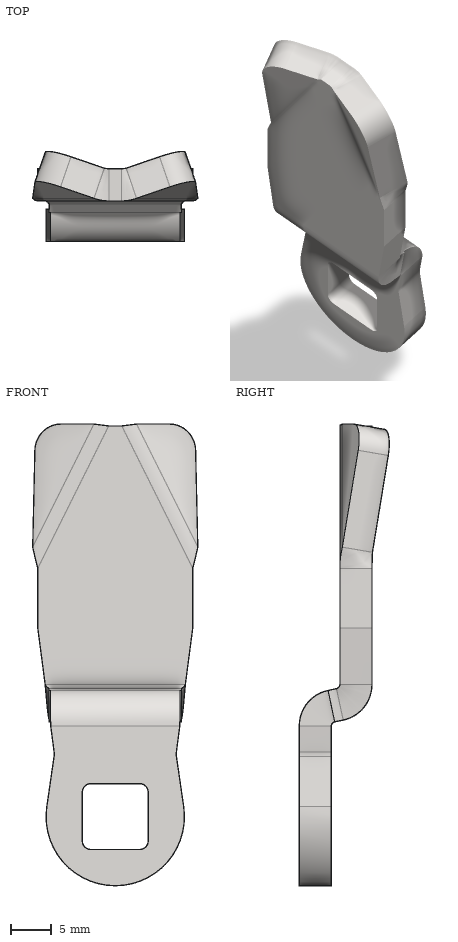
import cadquery as cq
import math

thickness = 4.0
bend_inner_radius = 0.5
bend_outer_radius = bend_inner_radius + thickness
bend_angle = 78.0
bend_axis_y = bend_outer_radius
upper_bend_z = 24.75
bend_pitch = thickness + 2 * bend_inner_radius
lower_bend_z = upper_bend_z - bend_pitch / math.sin(math.radians(bend_angle))
blade_front_y = bend_pitch

head_radius = 8.5
head_tangent_angle = 8.4
waist_half_width = 7.5
waist_z = 16.2
waist_radius = 2.0
lower_bend_half_width = 7.95
web_half_width = 8.1
upper_bend_half_width = 8.65
blade_half_width = 9.55
shoulder_z = 31.7

hole_size = 8.05
hole_corner_radius = 1.0
hole_center_z = 8.5

wing_angle = 21.0
fold_tilt = 26.5
fold_inner_radius = 0.85
fold_outer_radius = fold_inner_radius + thickness
fold_top_half_width = 0.8
blade_top_z = 56.6
wing_top_z = 56.8
wing_tip_half_width = 9.8
wing_base_half_width = 10.15
wing_corner_radius = 3.2

bend_sections = 6

wing_sin = math.sin(math.radians(wing_angle))
wing_cos = math.cos(math.radians(wing_angle))
along_fold = cq.Vector(math.sin(math.radians(fold_tilt)), 0, -math.cos(math.radians(fold_tilt)))
across_fold = cq.Vector(math.cos(math.radians(fold_tilt)), 0, math.sin(math.radians(fold_tilt)))
toward_back = cq.Vector(0, 1, 0)


def bent_strip(center, start_dir, turn_dir, axis_dir, radii, angle, start_ends, finish_ends):
    """Solid swept round an axis while its two ends slide evenly along that axis."""
    inner, outer = radii
    sections = []
    for index in range(bend_sections):
        fraction = index / (bend_sections - 1)
        turn = math.radians(angle * fraction)
        radial = start_dir * math.cos(turn) + turn_dir * math.sin(turn)
        near, far = [a + (b - a) * fraction for a, b in zip(start_ends, finish_ends)]
        corners = [
            center + radial * inner + axis_dir * near,
            center + radial * outer + axis_dir * near,
            center + radial * outer + axis_dir * far,
            center + radial * inner + axis_dir * far,
        ]
        sections.append(cq.Wire.makePolygon(corners, close=True))
    return cq.Workplane(obj=cq.Solid.makeLoft(sections))


def extrude_back(outline, front_y):
    """Extrude an XZ outline through the sheet from its front face."""
    return outline.extrude(-thickness).translate((0, front_y, 0))


def head_plate():
    tangent = math.radians(head_tangent_angle)
    tangent_x = head_radius * math.cos(tangent)
    tangent_z = head_radius * (1 + math.sin(tangent))
    outline = (
        cq.Workplane("XZ")
        .moveTo(tangent_x, tangent_z)
        .lineTo(waist_half_width, waist_z)
        .lineTo(lower_bend_half_width, lower_bend_z)
        .lineTo(-lower_bend_half_width, lower_bend_z)
        .lineTo(-waist_half_width, waist_z)
        .lineTo(-tangent_x, tangent_z)
        .threePointArc((0, 0), (tangent_x, tangent_z))
        .close()
    )
    plate = extrude_back(outline, 0)
    waist_edges = cq.selectors.BoxSelector(
        (-head_radius, 0, waist_z - 0.55), (head_radius, thickness, waist_z + 0.55)
    )
    plate = plate.edges("|Y").edges(waist_edges).fillet(waist_radius)
    hole = extrude_back(
        cq.Workplane("XZ").center(0, hole_center_z).rect(hole_size, hole_size), 0
    )
    return plate.cut(hole.edges("|Y").fillet(hole_corner_radius))


def offset_bends():
    radii = (bend_inner_radius, bend_outer_radius)
    x_axis = cq.Vector(1, 0, 0)
    up = cq.Vector(0, 0, 1)
    upper_ends = (-upper_bend_half_width, upper_bend_half_width)
    web_ends = (-web_half_width, web_half_width)
    lower_ends = (-lower_bend_half_width, lower_bend_half_width)
    upper = bent_strip(
        cq.Vector(0, bend_axis_y, upper_bend_z), toward_back, -up, x_axis,
        radii, bend_angle, upper_ends, web_ends,
    )
    lower = bent_strip(
        cq.Vector(0, bend_axis_y, lower_bend_z), -toward_back, up, x_axis,
        radii, bend_angle, lower_ends, lower_ends,
    )
    cos_bend = math.cos(math.radians(bend_angle))
    sin_bend = math.sin(math.radians(bend_angle))

    def bend_end(axis_z, radius, side):
        return (bend_axis_y + side * radius * cos_bend, axis_z - side * radius * sin_bend)

    web = (
        cq.Workplane("YZ")
        .polyline([
            bend_end(upper_bend_z, bend_inner_radius, 1),
            bend_end(upper_bend_z, bend_outer_radius, 1),
            bend_end(lower_bend_z, bend_inner_radius, -1),
            bend_end(lower_bend_z, bend_outer_radius, -1),
        ])
        .close()
        .extrude(web_half_width, both=True)
    )
    return upper.union(web).union(lower)


fold_slope = math.tan(math.radians(fold_tilt))
fold_width = fold_outer_radius * wing_sin
fold_start_top = cq.Vector(fold_top_half_width, blade_front_y, blade_top_z)
fold_start_length = (blade_half_width - fold_top_half_width) / along_fold.x
fold_start_bottom = fold_start_top + along_fold * fold_start_length
fold_finish = fold_start_top + across_fold * fold_width
finish_near = (wing_top_z - fold_finish.z) / along_fold.z
finish_far = (wing_base_half_width - fold_finish.x) / along_fold.x


def blade_plate():
    right_side = [
        (upper_bend_half_width, upper_bend_z),
        (blade_half_width, shoulder_z),
        (blade_half_width, fold_start_bottom.z),
        (fold_top_half_width, blade_top_z),
    ]
    left_side = [(-x, z) for x, z in reversed(right_side)]
    return extrude_back(cq.Workplane("XZ").polyline(right_side + left_side).close(), blade_front_y)


def right_wing():
    fold = bent_strip(
        fold_start_top + toward_back * fold_outer_radius, -toward_back, across_fold, along_fold,
        (fold_inner_radius, fold_outer_radius), wing_angle,
        (0, fold_start_length), (finish_near, finish_far),
    )
    origin = fold_finish + toward_back * (fold_outer_radius * (1 - wing_cos))
    across_wing = across_fold * wing_cos + toward_back * wing_sin
    wing_normal = toward_back * wing_cos - across_fold * wing_sin

    def on_wing(x, z):
        """Wing coordinates of the front-face point that lies at this X and Z."""
        offset = cq.Vector(x - origin.x, 0, z - origin.z)
        return (offset.dot(across_fold) / wing_cos, offset.dot(along_fold))

    wing = (
        cq.Workplane(cq.Plane(origin, across_wing, wing_normal))
        .polyline([
            (0, finish_near),
            on_wing(wing_tip_half_width, wing_top_z),
            (0, finish_far),
        ])
        .close()
        .extrude(thickness)
    )
    tip = origin + cq.Vector(wing_tip_half_width - origin.x, 0, wing_top_z - origin.z)
    tip_edge = cq.selectors.NearestToPointSelector((tip + toward_back * thickness).toTuple())
    return fold.union(wing.edges(cq.selectors.ParallelDirSelector(wing_normal)).edges(tip_edge)
                      .fillet(wing_corner_radius))


wing = right_wing()
result = (
    head_plate()
    .union(offset_bends())
    .union(blade_plate())
    .union(wing)
    .union(wing.mirror("YZ"))
)